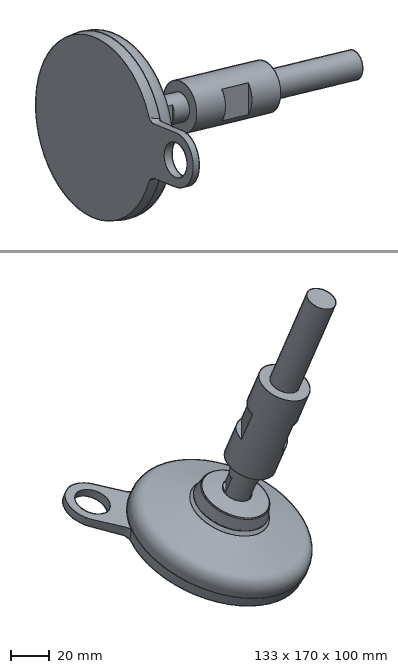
import cadquery as cq
import math


TOTAL_HEIGHT = 170.0

pad_radius = 100.0 / 2
underside_radius = 49.1
pad_height = 6.1

foot_radius = 49.8
rim_height = 8.8
shoulder_radius = 7.8
cone_top_radius = 21.8
cone_top_height = 24.0

groove_radius = 19.9
groove_height = 25.7
hub_bottom_radius = 20.5
hub_bottom_height = 26.4
hub_top_radius = 18.9
hub_top_height = 33.0
hub_edge_bevel = 0.5
foot_height = 35.7

lug_reach = 133.0 - pad_radius
lug_radius = 14.8
lug_hole_diameter = 19.0
lug_blend_radius = 5.1
lug_root_height = 5.6
lug_tip_height = 4.0

stem_diameter = 16.0
stem_flats_width = 13.0
stem_flats_start = 36.7
stem_flats_end = 46.2

sleeve_diameter = 28.0
sleeve_start = 56.3
sleeve_end = 111.4
sleeve_flats_width = 22.1
sleeve_flats_length = 17.3


def make_foot_body():
    """Revolved foot plate and hub, with a rounded shoulder tangent to the cone."""
    arc_center_x = foot_radius - shoulder_radius
    dx = arc_center_x - cone_top_radius
    dy = cone_top_height - rim_height
    tangent_angle = math.atan2(dy, -dx) - math.acos(shoulder_radius / math.hypot(dx, dy))

    def shoulder_point(angle):
        return (
            arc_center_x + shoulder_radius * math.cos(angle),
            rim_height + shoulder_radius * math.sin(angle),
        )

    return (
        cq.Workplane("XY")
        .moveTo(0, pad_height)
        .lineTo(foot_radius, pad_height)
        .lineTo(foot_radius, rim_height)
        .threePointArc(shoulder_point(tangent_angle / 2), shoulder_point(tangent_angle))
        .lineTo(cone_top_radius, cone_top_height)
        .lineTo(groove_radius, groove_height)
        .lineTo(groove_radius, hub_bottom_height)
        .lineTo(hub_bottom_radius, hub_bottom_height)
        .lineTo(hub_top_radius, hub_top_height)
        .lineTo(hub_top_radius - hub_edge_bevel, hub_top_height + hub_edge_bevel)
        .lineTo(stem_diameter / 2, foot_height)
        .lineTo(0, foot_height)
        .close()
        .revolve(360, (0, 0, 0), (0, 1, 0))
    )


def make_pad_disc():
    return (
        cq.Workplane("XY")
        .polyline([(0, 0), (underside_radius, 0), (pad_radius, pad_height), (0, pad_height)])
        .close()
        .revolve(360, (0, 0, 0), (0, 1, 0))
    )


def make_lug():
    """Lug with a round end, concave blends into the pad, and a top sloping to the tip."""
    end_center_x = lug_reach - lug_radius
    blend_center_z = lug_radius + lug_blend_radius
    blend_center_x = math.sqrt((underside_radius + lug_blend_radius) ** 2 - blend_center_z**2)
    pad_angle = math.atan2(blend_center_z, blend_center_x)
    root_x = underside_radius * math.cos(pad_angle)
    root_z = underside_radius * math.sin(pad_angle)
    mid_angle = (pad_angle + math.pi / 2) / 2
    mid_x = blend_center_x - lug_blend_radius * math.cos(mid_angle)
    mid_z = blend_center_z - lug_blend_radius * math.sin(mid_angle)

    outline = (
        cq.Workplane("XZ")
        .moveTo(0, 0)
        .lineTo(root_x, root_z)
        .threePointArc((mid_x, mid_z), (blend_center_x, lug_radius))
        .lineTo(end_center_x, lug_radius)
        .threePointArc((lug_reach, 0), (end_center_x, -lug_radius))
        .lineTo(blend_center_x, -lug_radius)
        .threePointArc((mid_x, -mid_z), (root_x, -root_z))
        .close()
        .extrude(-lug_root_height)
    )
    sloped_side = (
        cq.Workplane("XY")
        .polyline([
            (0, 0),
            (lug_reach, 0),
            (lug_reach, lug_tip_height),
            (underside_radius, lug_root_height),
            (0, lug_root_height),
        ])
        .close()
        .extrude(root_z, both=True)
    )
    return outline.intersect(sloped_side)


def make_lug_hole():
    return (
        cq.Workplane("XZ")
        .center(lug_reach - lug_radius, 0)
        .circle(lug_hole_diameter / 2)
        .extrude(-lug_root_height)
    )


def make_pad():
    return make_pad_disc().union(make_lug()).cut(make_lug_hole())


def rod(diameter, start, end):
    """Cylinder on the Y axis between two heights."""
    return cq.Workplane("XZ", origin=(0, start, 0)).circle(diameter / 2).extrude(start - end)


def with_flats(body, diameter, width, start, end):
    """Cut two parallel flats, facing -X and +X, between two heights."""
    middle_height = (start + end) / 2
    depth = (diameter - width) / 2
    for side in (-1, 1):
        cutter = cq.Workplane("XY").box(depth, end - start, diameter)
        body = body.cut(cutter.translate((side * (width + depth) / 2, middle_height, 0)))
    return body


def make_stem():
    """Rod on the hub, with a pair of wrench flats near its lower end."""
    stem = rod(stem_diameter, foot_height, TOTAL_HEIGHT)
    return with_flats(stem, stem_diameter, stem_flats_width, stem_flats_start, stem_flats_end)


def make_foot():
    """Base pad, foot plate, hub and stem as one solid."""
    return make_pad().union(make_foot_body()).union(make_stem())


def make_sleeve():
    """Sleeve bored to fit the stem, with a pair of wrench flats at mid-length."""
    sleeve_middle = (sleeve_start + sleeve_end) / 2
    sleeve = rod(sleeve_diameter, sleeve_start, sleeve_end)
    sleeve = sleeve.cut(rod(stem_diameter, sleeve_start, sleeve_end))
    return with_flats(
        sleeve,
        sleeve_diameter,
        sleeve_flats_width,
        sleeve_middle - sleeve_flats_length / 2,
        sleeve_middle + sleeve_flats_length / 2,
    )


foot = make_foot()
sleeve = make_sleeve()

result = cq.Compound.makeCompound([foot.val(), sleeve.val()])